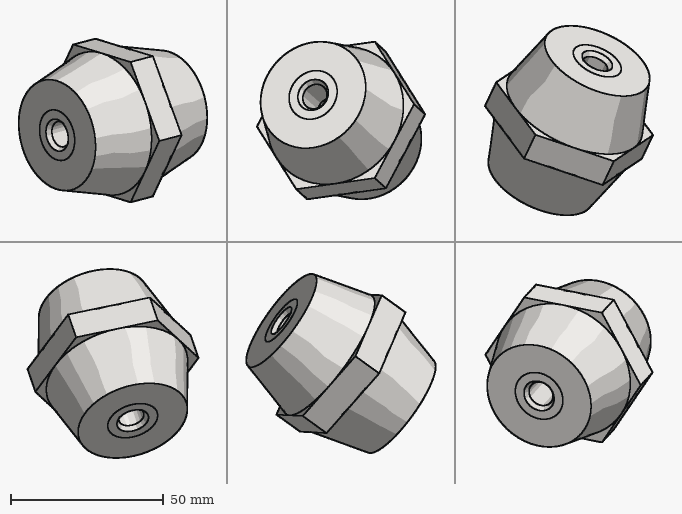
import cadquery as cq
import math

HEX_ACROSS_CORNERS = 55.45
TOTAL_LENGTH = 50.0
HEX_THICKNESS = 10.0
END_FACE_RADIUS = 18.55
INSERT_RADIUS = 8.5
INSERT_LENGTH = 19.95
BORE_RADIUS = 4.25
BORE_DEPTH = 14.95
DRILL_POINT_ANGLE = 120.0
COUNTERSINK_RADIUS = 5.4
COUNTERSINK_DEPTH = 1.6

HALF_LENGTH = TOTAL_LENGTH / 2
HALF_HEX = HEX_THICKNESS / 2
CONE_BASE_RADIUS = HEX_ACROSS_CORNERS / 2 * math.cos(math.radians(30))
DRILL_POINT_DEPTH = BORE_RADIUS / math.tan(math.radians(DRILL_POINT_ANGLE / 2))

END_SIDES = (-1, 1)


def revolve_about_y(profile):
    """Revolve a closed (radius, y) profile one full turn about the Y axis."""
    return cq.Workplane("XY").polyline(profile).close().revolve(360, (0, 0, 0), (0, 1, 0))


def make_hex_collar():
    """Hexagonal wrench collar around the middle, with two corners on the X axis."""
    return (
        cq.Workplane("XZ")
        .polygon(6, HEX_ACROSS_CORNERS)
        .extrude(HALF_HEX, both=True)
    )


def make_cone(side):
    """Tapered end of the body, running from the collar to the end face."""
    return revolve_about_y([
        (0, 0),
        (CONE_BASE_RADIUS, 0),
        (CONE_BASE_RADIUS, side * HALF_HEX),
        (END_FACE_RADIUS, side * HALF_LENGTH),
        (0, side * HALF_LENGTH),
    ])


def make_insert_recess(side):
    """Blind round recess that one insert fills exactly."""
    return revolve_about_y([
        (0, side * HALF_LENGTH),
        (INSERT_RADIUS, side * HALF_LENGTH),
        (INSERT_RADIUS, side * (HALF_LENGTH - INSERT_LENGTH)),
        (0, side * (HALF_LENGTH - INSERT_LENGTH)),
    ])


def make_insulator():
    """Insulating body: hexagonal collar, two cones and a recess in each end."""
    body = make_hex_collar()
    for side in END_SIDES:
        body = body.union(make_cone(side))
    for side in END_SIDES:
        body = body.cut(make_insert_recess(side))
    return body


def make_insert(side):
    """Round insert, flush with the end face, with a countersunk blind bore."""
    return revolve_about_y([
        (COUNTERSINK_RADIUS, side * HALF_LENGTH),
        (INSERT_RADIUS, side * HALF_LENGTH),
        (INSERT_RADIUS, side * (HALF_LENGTH - INSERT_LENGTH)),
        (0, side * (HALF_LENGTH - INSERT_LENGTH)),
        (0, side * (HALF_LENGTH - BORE_DEPTH - DRILL_POINT_DEPTH)),
        (BORE_RADIUS, side * (HALF_LENGTH - BORE_DEPTH)),
        (BORE_RADIUS, side * (HALF_LENGTH - COUNTERSINK_DEPTH)),
    ])


insulator = make_insulator()
inserts = [make_insert(side) for side in END_SIDES]

result = cq.Compound.makeCompound([insulator.val(), *[insert.val() for insert in inserts]])